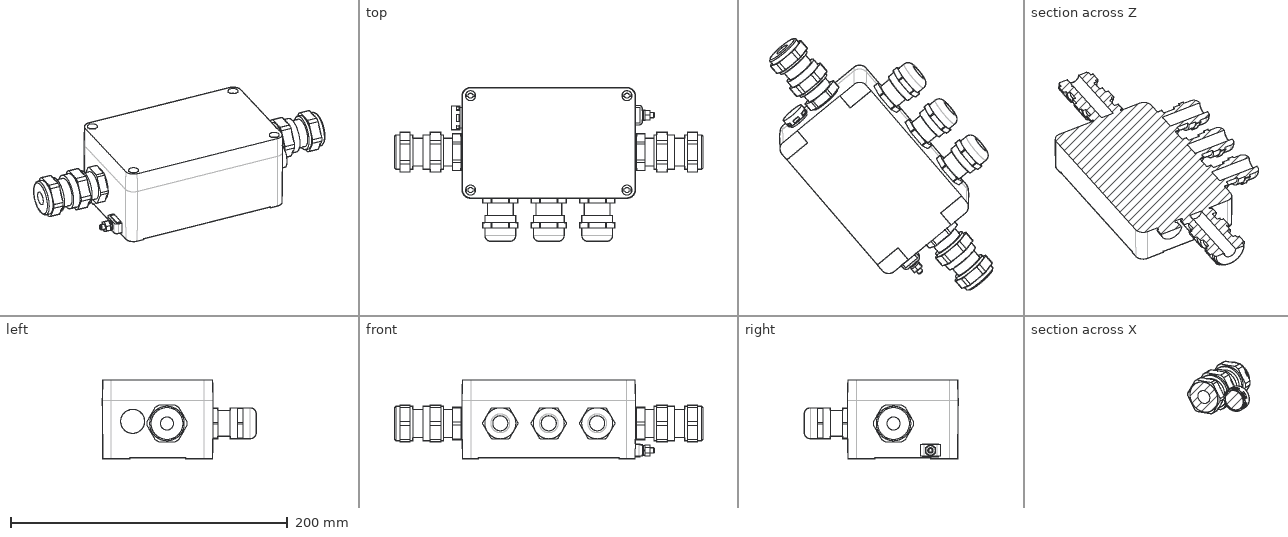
import cadquery as cq
import math

BOX_LENGTH = 125.6
BOX_WIDTH = 80.2
BOX_HEIGHT = 57.0
PARTING_HEIGHT = 42.3
CORNER_RADIUS = 6.5
BASE_DRAFT = 0.5
LID_DRAFT = 1.5
FOOT_LENGTH = 12.0
FOOT_WIDTH = 20.0
FOOT_HEIGHT = 0.7

SCREW_SPACING_X = 113.0
SCREW_SPACING_Y = 68.2
COUNTERBORE_DIAMETER = 7.2
COUNTERBORE_DEPTH = 4.0
SCREW_RECESS_DIAMETER = 3.6
SCREW_RECESS_DEPTH = 1.5
SCREW_SLOT_LENGTH = 6.0
SCREW_SLOT_WIDTH = 1.2

ROOT_DEPTH = 1.5

OVERALL_LENGTH = 222.91
END_GLAND_LENGTH = (OVERALL_LENGTH - BOX_LENGTH) / 2
END_GLAND_Y = -6.7
END_GLAND_Z = 25.55
END_COLLAR_DIAMETER = 25.0
END_NECK_DIAMETER = 20.4
END_NUT_FLATS = 26.4
END_NUT_CORNERS = 28.9
END_SEAL_DIAMETER = 23.0
END_LOCKNUT_FLATS = 24.0
END_LOCKNUT_CORNERS = 26.7
END_BORE_DIAMETER = 9.4
END_RIM_CHAMFER = 1.0

OVERALL_WIDTH = 111.33
FRONT_GLAND_LENGTH = OVERALL_WIDTH - BOX_WIDTH
FRONT_GLAND_PITCH = 35.0
FRONT_GLAND_Z = 25.7
FRONT_NUT_FLATS = 22.4
FRONT_NUT_CORNERS = 25.4
FRONT_NECK_DIAMETER = 18.8
FRONT_CAP_DIAMETER = 22.4
FRONT_BORE_DIAMETER = 10.9
FRONT_DOME_RADIUS = 4.4

VENT_Y = 18.1
VENT_Z = 27.1
VENT_DIAMETER = 17.4
VENT_LENGTH = 7.6
VENT_NECK_DIAMETER = 15.0
VENT_NECK_LENGTH = 1.3
VENT_WINDOW_COUNT = 6
VENT_WINDOW_WIDTH = 5.0
VENT_WINDOW_LENGTH = 2.0
VENT_WINDOW_START = 2.0
VENT_WINDOW_DEPTH = 1.2

EARTH_Y = 20.0
EARTH_Z = 6.1
EARTH_CLAMP_WIDTH = 14.3
EARTH_CLAMP_HEIGHT = 8.2
EARTH_CLAMP_LENGTH = 4.9
EARTH_CLAMP_RADIUS = 2.5
EARTH_BLOCK_WIDTH = 11.3
EARTH_BLOCK_HEIGHT = 9.3
EARTH_BLOCK_LENGTH = 3.1
EARTH_WASHER_DIAMETER = 6.6
EARTH_WASHER_LENGTH = 0.8
SPRING_WASHER_DIAMETER = 7.4
SPRING_WASHER_LENGTH = 1.2
SPRING_WASHER_GAP = 0.8
EARTH_NUT_FLATS = 7.0
EARTH_NUT_LENGTH = 3.5
EARTH_STUD_DIAMETER = 4.0
EARTH_STUD_LENGTH = 13.7
EARTH_STUD_CHAMFER = 0.7

HEX_CORNER_RATIO = 2 / math.sqrt(3)


def wall_plane(origin, corner_direction, outward):
    """Plane on a wall; hexagons drawn on it point a corner along corner_direction."""
    return cq.Plane(origin=origin, xDir=corner_direction, normal=outward)


def disc(plane, diameter, start, end):
    return cq.Workplane(plane).workplane(offset=start).circle(diameter / 2).extrude(end - start)


def hexagon(plane, flats, start, end):
    return (
        cq.Workplane(plane)
        .workplane(offset=start)
        .polygon(6, flats * HEX_CORNER_RATIO)
        .extrude(end - start)
    )


def nut(plane, flats, corners, start, end):
    """Hexagon whose corners are turned down to a diameter."""
    return hexagon(plane, flats, start, end).intersect(disc(plane, corners, start, end))


def tapered_half(height_from_parting, draft):
    """Rounded block growing up (or down, if negative) from the parting plane."""
    return (
        cq.Workplane("XY", origin=(0, 0, PARTING_HEIGHT))
        .sketch()
        .rect(BOX_LENGTH, BOX_WIDTH)
        .vertices()
        .fillet(CORNER_RADIUS)
        .finalize()
        .extrude(height_from_parting, taper=draft)
    )


def make_enclosure():
    base = tapered_half(-PARTING_HEIGHT, BASE_DRAFT)
    lid = tapered_half(BOX_HEIGHT - PARTING_HEIGHT, LID_DRAFT)
    channels = (
        cq.Workplane("XY")
        .rect(BOX_LENGTH - 2 * FOOT_LENGTH, BOX_WIDTH)
        .extrude(FOOT_HEIGHT)
        .union(cq.Workplane("XY").rect(BOX_LENGTH, BOX_WIDTH - 2 * FOOT_WIDTH).extrude(FOOT_HEIGHT))
    )
    return base.union(lid).cut(channels)


def make_screw_cuts():
    head_z = BOX_HEIGHT - COUNTERBORE_DEPTH

    def screw_points(z):
        return cq.Workplane("XY", origin=(0, 0, z)).rect(
            SCREW_SPACING_X, SCREW_SPACING_Y, forConstruction=True
        ).vertices()

    counterbores = screw_points(BOX_HEIGHT).circle(COUNTERBORE_DIAMETER / 2).extrude(-COUNTERBORE_DEPTH)
    recesses = screw_points(head_z).circle(SCREW_RECESS_DIAMETER / 2).extrude(-SCREW_RECESS_DEPTH)
    slots = screw_points(head_z).rect(SCREW_SLOT_LENGTH, SCREW_SLOT_WIDTH).extrude(-SCREW_RECESS_DEPTH)
    return counterbores.union(recesses).union(slots)


def make_end_gland(side):
    """Gland on the right wall (side = 1) or the left wall (side = -1)."""
    plane = wall_plane((side * BOX_LENGTH / 2, END_GLAND_Y, END_GLAND_Z), (0, 1, 0), (side, 0, 0))
    seal_end = 0.6
    locknut_end = 6.8
    neck_end = 13.2
    middle_nut_start = 15.2
    middle_nut_end = 22.9
    middle_collar_end = 28.1
    waist_end = 35.4
    cap_nut_start = 37.4
    cap_nut_end = 44.7

    cap = (
        disc(plane, END_COLLAR_DIAMETER, waist_end, END_GLAND_LENGTH)
        .faces("<X" if side < 0 else ">X")
        .edges()
        .chamfer(END_RIM_CHAMFER)
    )
    return (
        disc(plane, END_SEAL_DIAMETER, -ROOT_DEPTH, seal_end)
        .union(nut(plane, END_LOCKNUT_FLATS, END_LOCKNUT_CORNERS, seal_end, locknut_end))
        .union(disc(plane, END_NECK_DIAMETER, locknut_end, waist_end))
        .union(disc(plane, END_COLLAR_DIAMETER, neck_end, middle_collar_end))
        .union(nut(plane, END_NUT_FLATS, END_NUT_CORNERS, middle_nut_start, middle_nut_end))
        .union(cap)
        .union(nut(plane, END_NUT_FLATS, END_NUT_CORNERS, cap_nut_start, cap_nut_end))
        .cut(disc(plane, END_BORE_DIAMETER, 0, END_GLAND_LENGTH))
    )


def make_front_gland(x):
    plane = wall_plane((x, -BOX_WIDTH / 2, FRONT_GLAND_Z), (1, 0, 0), (0, -1, 0))
    flange_end = 3.4
    neck_end = 12.2
    nut_start = 17.6
    nut_end = 21.5

    cap = (
        disc(plane, FRONT_CAP_DIAMETER, neck_end, FRONT_GLAND_LENGTH)
        .faces("<Y")
        .edges()
        .fillet(FRONT_DOME_RADIUS)
    )
    return (
        nut(plane, FRONT_NUT_FLATS, FRONT_NUT_CORNERS, -ROOT_DEPTH, flange_end)
        .union(disc(plane, FRONT_NECK_DIAMETER, flange_end, neck_end))
        .union(cap)
        .union(nut(plane, FRONT_NUT_FLATS, FRONT_NUT_CORNERS, nut_start, nut_end))
        .cut(disc(plane, FRONT_BORE_DIAMETER, 0, FRONT_GLAND_LENGTH))
    )


def make_vent_plug():
    plane = wall_plane((-BOX_LENGTH / 2, VENT_Y, VENT_Z), (0, 1, 0), (-1, 0, 0))
    plug = disc(plane, VENT_NECK_DIAMETER, -ROOT_DEPTH, VENT_NECK_LENGTH).union(
        disc(plane, VENT_DIAMETER, VENT_NECK_LENGTH, VENT_LENGTH)
    )
    window_step = 360 / VENT_WINDOW_COUNT
    for index in range(VENT_WINDOW_COUNT):
        window = (
            cq.Workplane(plane)
            .workplane(offset=VENT_WINDOW_START)
            .transformed(rotate=(0, 0, 90 + index * window_step))
            .center(VENT_DIAMETER / 2, 0)
            .rect(2 * VENT_WINDOW_DEPTH, VENT_WINDOW_WIDTH)
            .extrude(VENT_WINDOW_LENGTH)
        )
        plug = plug.cut(window)
    return plug


def make_earth_terminal():
    plane = wall_plane((BOX_LENGTH / 2, EARTH_Y, EARTH_Z), (0, 0, 1), (1, 0, 0))
    washer_end = EARTH_CLAMP_LENGTH + EARTH_WASHER_LENGTH
    nut_start = washer_end + SPRING_WASHER_LENGTH
    clamp = (
        cq.Workplane(plane)
        .workplane(offset=-ROOT_DEPTH)
        .rect(EARTH_CLAMP_HEIGHT, EARTH_CLAMP_WIDTH)
        .extrude(ROOT_DEPTH + EARTH_CLAMP_LENGTH)
        .faces(">X")
        .edges("|Z")
        .fillet(EARTH_CLAMP_RADIUS)
    )
    block = (
        cq.Workplane(plane)
        .workplane(offset=-ROOT_DEPTH)
        .rect(EARTH_BLOCK_HEIGHT, EARTH_BLOCK_WIDTH)
        .extrude(ROOT_DEPTH + EARTH_BLOCK_LENGTH)
    )
    split = cq.Workplane("XY").box(
        SPRING_WASHER_LENGTH, SPRING_WASHER_DIAMETER / 2, SPRING_WASHER_GAP, centered=(False, False, True)
    ).translate((BOX_LENGTH / 2 + washer_end, EARTH_Y - SPRING_WASHER_DIAMETER / 2, EARTH_Z))
    spring_washer = disc(plane, SPRING_WASHER_DIAMETER, washer_end, nut_start).cut(split)
    stud = (
        disc(plane, EARTH_STUD_DIAMETER, 0, EARTH_STUD_LENGTH)
        .faces(">X")
        .edges()
        .chamfer(EARTH_STUD_CHAMFER)
    )
    return (
        clamp.union(block)
        .union(disc(plane, EARTH_WASHER_DIAMETER, EARTH_CLAMP_LENGTH, washer_end))
        .union(spring_washer)
        .union(hexagon(plane, EARTH_NUT_FLATS, nut_start, nut_start + EARTH_NUT_LENGTH))
        .union(stud)
    )


result = make_enclosure().cut(make_screw_cuts())
for wall_side in (-1, 1):
    result = result.union(make_end_gland(wall_side))
for position in (-1, 0, 1):
    result = result.union(make_front_gland(position * FRONT_GLAND_PITCH))
result = result.union(make_vent_plug()).union(make_earth_terminal())